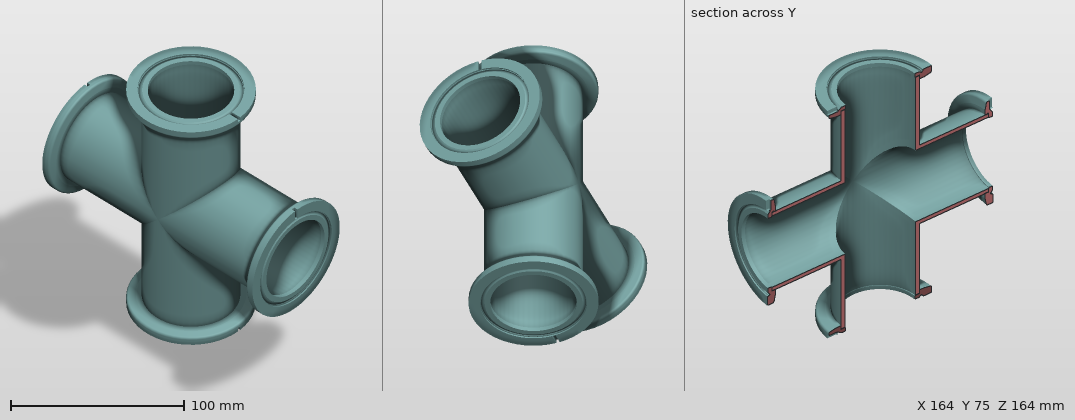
import cadquery as cq
import math

half_span = 82.0

tube_outer_radius = 57.0 / 2
tube_bore_radius = 51.2 / 2

flange_radius = 75.0 / 2
flange_bore_radius = 50.0 / 2
flange_thickness = 6.0
rim_width = 3.8
shoulder_radius = 1.5
back_cone_angle = 11.0
socket_floor_depth = 3.1

recess_radius = 30.8
ledge_depth = 1.0
groove_radius = 30.3
groove_depth = 2.0
inner_land_radius = 28.2
inner_land_depth = 0.5

slot_width = 2.1
slot_depth = 2.5

socket_floor_z = half_span - socket_floor_depth


def cross_cylinders(radius):
    """Two equal cylinders along X and Z, crossing at the origin."""
    along_z = cq.Workplane("XY").circle(radius).extrude(socket_floor_z, both=True)
    along_x = cq.Workplane("YZ").circle(radius).extrude(socket_floor_z, both=True)
    return along_z.union(along_x)


def make_cross_tube():
    """Four-way tube with open, mitred branches."""
    return cross_cylinders(tube_outer_radius).cut(cross_cylinders(tube_bore_radius))


def make_flange():
    """Top flange: face at +Z, bore lip over the tube end, slot toward +X."""
    back_z = half_span - flange_thickness
    rim_z = half_span - rim_width
    cone = math.radians(back_cone_angle)

    arc_centre_r = flange_radius - shoulder_radius
    arc_end = (
        arc_centre_r + shoulder_radius * math.sin(cone),
        rim_z - shoulder_radius * math.cos(cone),
    )
    back_flat_radius = arc_end[0] - (arc_end[1] - back_z) / math.tan(cone)
    mid_angle = (math.pi / 2 - cone) / 2
    arc_mid = (
        arc_centre_r + shoulder_radius * math.cos(mid_angle),
        rim_z - shoulder_radius * math.sin(mid_angle),
    )

    flange = (
        cq.Workplane("XZ")
        .moveTo(flange_bore_radius, half_span - inner_land_depth)
        .lineTo(inner_land_radius, half_span - inner_land_depth)
        .lineTo(groove_radius, half_span - groove_depth)
        .lineTo(groove_radius, half_span - ledge_depth)
        .lineTo(recess_radius, half_span - ledge_depth)
        .lineTo(recess_radius, half_span)
        .lineTo(flange_radius, half_span)
        .lineTo(flange_radius, rim_z)
        .threePointArc(arc_mid, arc_end)
        .lineTo(back_flat_radius, back_z)
        .lineTo(tube_outer_radius, back_z)
        .lineTo(tube_outer_radius, socket_floor_z)
        .lineTo(flange_bore_radius, socket_floor_z)
        .close()
        .revolve(360, (0, 0, 0), (0, 1, 0))
    )
    slot = (
        cq.Workplane("XY", origin=(recess_radius, 0, half_span - slot_depth / 2))
        .box(flange_radius, slot_width, slot_depth, centered=(False, True, True))
    )
    return flange.cut(slot)


cross_tube = make_cross_tube()

top_flange = make_flange()
left_flange = top_flange.rotate((0, 0, 0), (0, 1, 0), -90)
flanges = []
for flange, mirror_plane in ((top_flange, "XY"), (left_flange, "YZ")):
    flanges.append(flange.val())
    flanges.append(flange.mirror(mirror_plane).val())

result = cq.Compound.makeCompound([cross_tube.val(), *flanges])